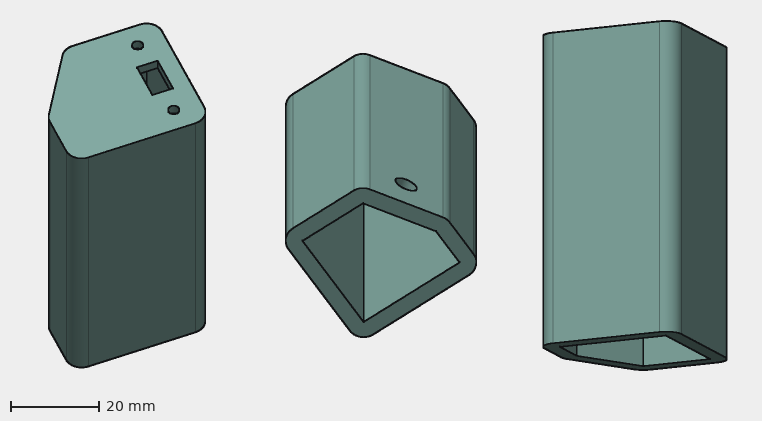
import cadquery as cq
import math

WIDTH = 32.13
DEPTH = 33.92
HEIGHT = 72.39
CORNER_RADIUS = 3.81

CUT_X = 17.78
CUT_Y = 11.43

WALL = 3.81
ROOF = 2.54

WINDOW_WIDTH = 9.0
WINDOW_DEPTH = 5.08
WINDOW_TO_BACK = 6.9
SCREW_DIAMETER = 2.54
SCREW_SPACING = 21.0
SCREW_TO_BACK = 6.75

CABLE_DIAMETER = 5.26
CABLE_HEIGHT = 10.16

LEFT = -WIDTH / 2
RIGHT = WIDTH / 2
FRONT = -DEPTH / 2
BACK = DEPTH / 2
SLANT_ANGLE = math.atan2(CUT_Y, CUT_X)


def make_outline():
    """Five-sided outline with sharp corners."""
    corners = [
        (LEFT, BACK),
        (LEFT, FRONT + CUT_Y),
        (LEFT + CUT_X, FRONT),
        (RIGHT, FRONT),
        (RIGHT, BACK),
    ]
    return cq.Workplane("XY").polyline(corners).close()


def make_body():
    """Solid prism with rounded upright edges."""
    return make_outline().extrude(HEIGHT).edges("|Z").fillet(CORNER_RADIUS)


def make_cavity():
    """Inside space: the outline moved in by the wall, from the open bottom up to the roof."""
    return make_outline().offset2D(-WALL).extrude(HEIGHT - ROOF)


def make_window():
    """Rectangular opening through the roof."""
    return (
        cq.Workplane("XY", origin=(0, BACK - WINDOW_TO_BACK, HEIGHT - ROOF))
        .rect(WINDOW_WIDTH, WINDOW_DEPTH)
        .extrude(ROOF)
    )


def make_screw_holes():
    """Two round holes through the roof, one on each side of the window."""
    return (
        cq.Workplane("XY", origin=(0, BACK - SCREW_TO_BACK, HEIGHT - ROOF))
        .pushPoints([(side * SCREW_SPACING / 2, 0) for side in (-1, 1)])
        .circle(SCREW_DIAMETER / 2)
        .extrude(ROOF)
    )


def make_cable_hole():
    """Round hole square to the slanted wall, at the middle of its flat face."""
    left_setback = CORNER_RADIUS * math.tan((math.pi / 2 - SLANT_ANGLE) / 2)
    front_setback = CORNER_RADIUS * math.tan(SLANT_ANGLE / 2)
    along = (math.hypot(CUT_X, CUT_Y) + left_setback - front_setback) / 2
    center = (
        LEFT + along * math.cos(SLANT_ANGLE),
        FRONT + CUT_Y - along * math.sin(SLANT_ANGLE),
        CABLE_HEIGHT,
    )
    inward = (math.sin(SLANT_ANGLE), math.cos(SLANT_ANGLE), 0)
    wall_plane = cq.Plane(origin=center, xDir=(0, 0, 1), normal=inward)
    return cq.Workplane(wall_plane).circle(CABLE_DIAMETER / 2).extrude(WALL)


result = (
    make_body()
    .cut(make_cavity())
    .cut(make_window())
    .cut(make_screw_holes())
    .cut(make_cable_hole())
)